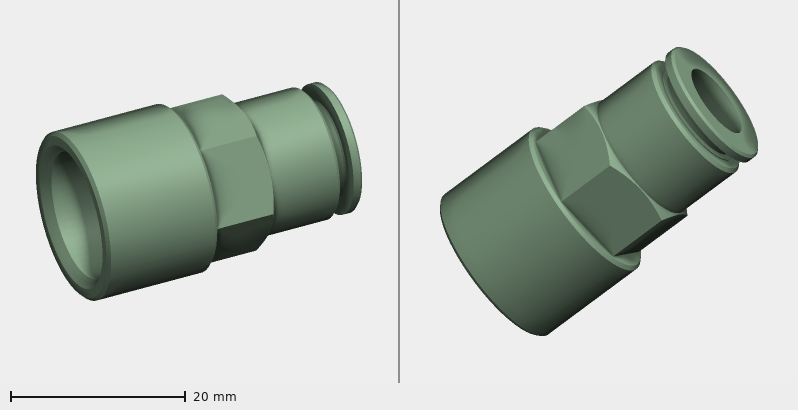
import cadquery as cq
import math

COLLAR_END = 14.0
HEX_END = 22.05
BODY_END = 30.5
LIP_END = 30.6
NECK_START = 30.72
NECK_END = 32.1
TOTAL_LENGTH = 33.3

COLLAR_DIAMETER = 20.0
COLLAR_CHAMFER = 0.4
HEX_ACROSS_FLATS = 16.0
HEX_SIDES = 6
HEX_CHAMFER_ANGLE = 30.0
BODY_DIAMETER = 15.7
BODY_CHAMFER = 0.4
LIP_DIAMETER = 12.7
NECK_DIAMETER = 11.4
NECK_FLARE_DIAMETER = 11.6
NECK_FLARE_LENGTH = 0.2
FLANGE_DIAMETER = 15.5
FLANGE_CHAMFER = 0.3

SOCKET_DIAMETER = 15.0
SOCKET_DEPTH = 12.0
MOUTH_DIAMETER = 17.0
TUBE_DIAMETER = 9.0
MOUTH_ANGLE = 45.0
FLOOR_ANGLE = 68.0


def cylinder(diameter, start, end):
    """Solid cylinder about the Y axis between two axial stations."""
    disc = cq.Workplane("XZ", origin=(0, start, 0)).circle(diameter / 2)
    return disc.extrude(start - end)


def revolve_profile(points):
    """Solid of revolution about Y from (radius, station) points."""
    return cq.Workplane("XY").polyline(points).close().revolve(360, (0, 0), (0, 1))


def make_collar():
    return cylinder(COLLAR_DIAMETER, 0, COLLAR_END).edges("%CIRCLE").chamfer(COLLAR_CHAMFER)


def make_hex():
    """Hexagon with flats on +/-Z, its corners trimmed by a cone at the body end."""
    corner_diameter = HEX_ACROSS_FLATS / math.cos(math.pi / HEX_SIDES)
    hexagon = cq.Workplane("XZ", origin=(0, COLLAR_END, 0)).polygon(HEX_SIDES, corner_diameter)
    prism = hexagon.extrude(COLLAR_END - HEX_END)
    tip_radius = BODY_DIAMETER / 2
    base_radius = COLLAR_DIAMETER / 2
    cone_drop = (base_radius - tip_radius) * math.tan(math.radians(HEX_CHAMFER_ANGLE))
    envelope = revolve_profile([
        (0, COLLAR_END),
        (base_radius, COLLAR_END),
        (base_radius, HEX_END - cone_drop),
        (tip_radius, HEX_END),
        (0, HEX_END),
    ])
    return prism.intersect(envelope)


def make_body():
    return cylinder(BODY_DIAMETER, HEX_END, BODY_END).faces(">Y").chamfer(BODY_CHAMFER)


def make_release_sleeve():
    """Low lip, conical shoulder and neck, flaring slightly into the end flange."""
    neck_radius = NECK_DIAMETER / 2
    lip_radius = LIP_DIAMETER / 2
    neck = revolve_profile([
        (0, BODY_END),
        (lip_radius, BODY_END),
        (lip_radius, LIP_END),
        (neck_radius, NECK_START),
        (neck_radius, NECK_END - NECK_FLARE_LENGTH),
        (NECK_FLARE_DIAMETER / 2, NECK_END),
        (0, NECK_END),
    ])
    flange = cylinder(FLANGE_DIAMETER, NECK_END, TOTAL_LENGTH).faces(">Y").chamfer(FLANGE_CHAMFER)
    return neck.union(flange)


def make_bore():
    """Countersunk socket with a conical floor leading into the through bore."""
    mouth_radius = MOUTH_DIAMETER / 2
    socket_radius = SOCKET_DIAMETER / 2
    tube_radius = TUBE_DIAMETER / 2
    mouth_depth = (mouth_radius - socket_radius) / math.tan(math.radians(MOUTH_ANGLE))
    floor_depth = (socket_radius - tube_radius) / math.tan(math.radians(FLOOR_ANGLE))
    return revolve_profile([
        (0, 0),
        (mouth_radius, 0),
        (socket_radius, mouth_depth),
        (socket_radius, SOCKET_DEPTH),
        (tube_radius, SOCKET_DEPTH + floor_depth),
        (tube_radius, TOTAL_LENGTH),
        (0, TOTAL_LENGTH),
    ])


outside = make_collar().union(make_hex()).union(make_body()).union(make_release_sleeve())
result = outside.cut(make_bore())